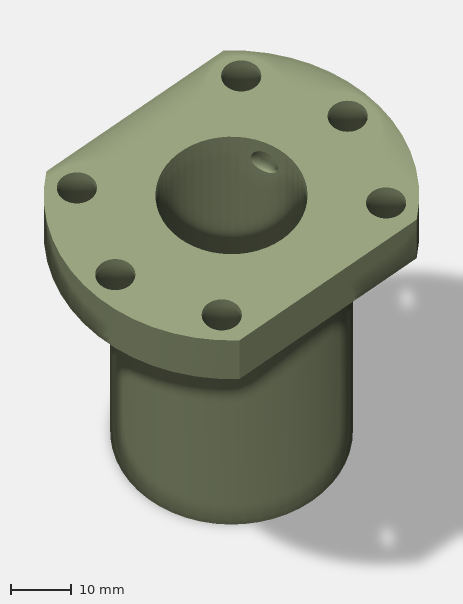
import cadquery as cq
import math

total_height = 61.0
flange_diameter = 61.8
flange_width = 48.0
flange_thickness = 10.0
barrel_diameter = 40.0
bore_diameter = 25.0

bolt_circle_diameter = 51.0
bolt_hole_diameter = 6.6
bolt_angles = (45, 90, 135, 225, 270, 315)

oil_hole_diameter = 5.0
oil_hole_angle = (90 + 135) / 2

flange_bottom = total_height - flange_thickness


def cylinder(diameter, height, bottom=0):
    return cq.Workplane("XY").workplane(offset=bottom).circle(diameter / 2).extrude(height)


def make_flange():
    """Round flange with two flats facing -X and +X."""
    disc = cylinder(flange_diameter, flange_thickness, flange_bottom)
    flats = (
        cq.Workplane("XY")
        .workplane(offset=flange_bottom)
        .rect(flange_width, flange_diameter)
        .extrude(flange_thickness)
    )
    return disc.intersect(flats)


def make_bolt_holes():
    radius = bolt_circle_diameter / 2
    centers = []
    for angle in bolt_angles:
        a = math.radians(angle)
        centers.append((radius * math.cos(a), radius * math.sin(a)))
    return (
        cq.Workplane("XY")
        .workplane(offset=flange_bottom)
        .pushPoints(centers)
        .circle(bolt_hole_diameter / 2)
        .extrude(flange_thickness)
    )


def make_oil_hole():
    """Hole from the bore out through the flange rim, at mid thickness."""
    a = math.radians(oil_hole_angle)
    direction = cq.Vector(math.cos(a), math.sin(a), 0)
    start = cq.Vector(0, 0, flange_bottom + flange_thickness / 2)
    return cq.Solid.makeCylinder(oil_hole_diameter / 2, flange_diameter, start, direction)


body = cylinder(barrel_diameter, total_height).union(make_flange())
bored = body.cut(cylinder(bore_diameter, total_height))
result = bored.cut(make_bolt_holes()).cut(make_oil_hole())